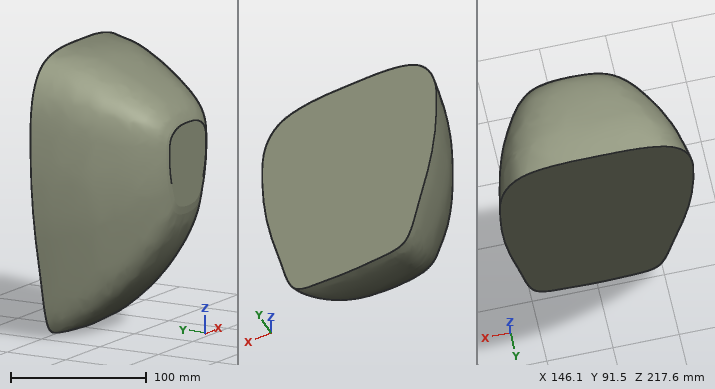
import cadquery as cq

depth = 91.5
height = 217.5
back_half_width = 73.0

dome_sections = [
    (0.0, back_half_width, 0.0, height),
    (13.7, 70.5, 5.2, 215.0),
    (30.9, 66.3, 17.2, 209.6),
    (47.2, 60.5, 31.3, 201.8),
    (61.5, 53.5, 46.5, 194.0),
    (74.0, 46.3, 62.8, 186.0),
    (83.3, 38.7, 78.0, 178.0),
    (90.5, 29.1, 96.3, 167.7),
]
pad_section = (depth, 26.3, 102.2, 165.3)

outline_shape = [
    (0.985, 0.58, 0.46),
    (0.95, 0.795, 0.70),
    (0.88, 0.935, 0.91),
    (0.73, 1.0, 1.0),
    (0.55, 0.98, 0.985),
    (0.35, 0.89, 0.90),
    (0.19, 0.78, 0.77),
    (0.08, 0.70, 0.63),
    (0.03, 0.62, 0.46),
    (0.005, 0.33, 0.20),
]


def section_wire(section):
    """Closed smooth outline, symmetric about X = 0, in a plane parallel to the back."""
    distance, half_width, bottom, top = section
    blend = distance / depth
    right_side = []
    for height_fraction, back_fraction, pad_fraction in outline_shape:
        width_fraction = back_fraction + blend * (pad_fraction - back_fraction)
        x = half_width * width_fraction
        z = bottom + height_fraction * (top - bottom)
        right_side.append(cq.Vector(x, -distance, z))
    left_side = [cq.Vector(-p.x, p.y, p.z) for p in reversed(right_side)]
    top_point = cq.Vector(0, -distance, top)
    bottom_point = cq.Vector(0, -distance, bottom)
    points = [top_point] + right_side + [bottom_point] + left_side
    return cq.Wire.assembleEdges([cq.Edge.makeSpline(points, periodic=True)])


dome = cq.Solid.makeLoft([section_wire(section) for section in dome_sections])

pad_border = cq.Solid.makeLoft([section_wire(dome_sections[-1]), section_wire(pad_section)], True)

result = cq.Workplane("XY").add(dome).union(cq.Workplane("XY").add(pad_border))